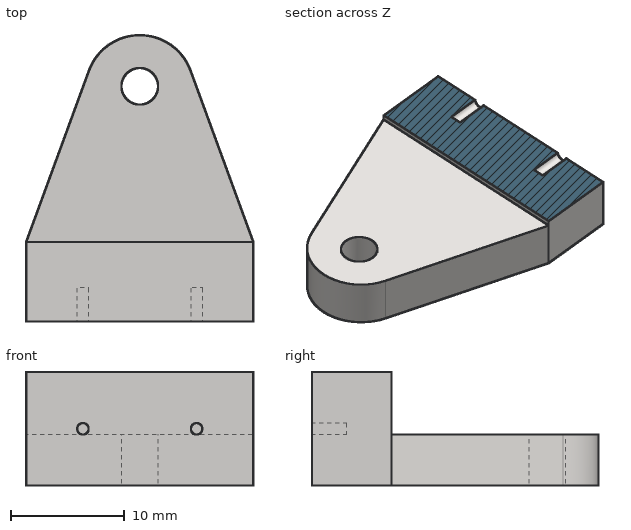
import cadquery as cq
import math

width = 20.0
length = 25.2
height = 10.0
block_depth = 7.0

tab_thickness = 4.5
tip_radius = 4.76
tip_center_y = length - tip_radius
pivot_diameter = 3.2
pivot_y = 20.7

pin_hole_diameter = 1.0
pin_hole_depth = 3.03
pin_hole_spacing = width / 2


def make_block():
    return cq.Workplane("XY").box(width, block_depth, height, centered=(True, False, False))


def make_tab():
    half_width = width / 2
    rise = tip_center_y - block_depth
    corner_distance = math.hypot(half_width, rise)
    side_angle = math.asin(tip_radius / corner_distance) - math.atan2(half_width, rise)
    tangent_x = tip_radius * math.cos(side_angle)
    tangent_y = tip_center_y - tip_radius * math.sin(side_angle)
    return (
        cq.Workplane("XY")
        .moveTo(-half_width, block_depth)
        .lineTo(half_width, block_depth)
        .lineTo(tangent_x, tangent_y)
        .threePointArc((0, length), (-tangent_x, tangent_y))
        .close()
        .extrude(tab_thickness)
    )


def make_pivot_hole():
    return cq.Workplane("XY").center(0, pivot_y).circle(pivot_diameter / 2).extrude(tab_thickness)


def make_pin_holes():
    return (
        cq.Workplane("XZ")
        .center(0, height / 2)
        .rarray(pin_hole_spacing, 0.25, 2, 1)
        .circle(pin_hole_diameter / 2)
        .extrude(-pin_hole_depth)
    )


result = make_block().union(make_tab()).cut(make_pivot_hole()).cut(make_pin_holes())